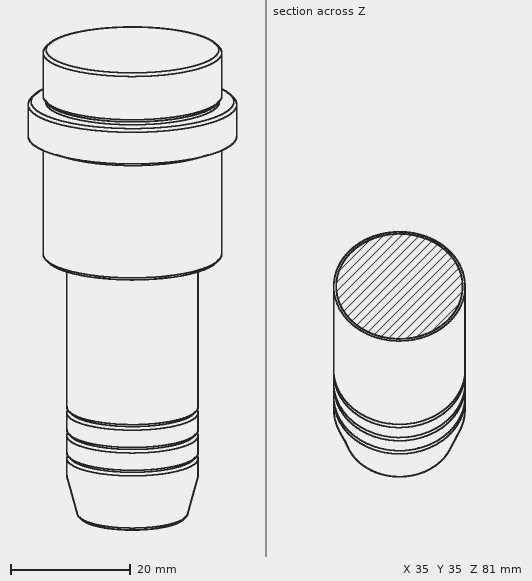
import cadquery as cq
import math

height = 81.0
flange_top = 72.0
flange_bottom = 66.0
body_bottom = 45.0
shank_top = 44.1
nose_top = 7.05

body_radius = 15.0
flange_radius = 17.5
shank_radius = 11.0

edge_chamfer = 0.5
relief_depth = 0.4
relief_width = 0.5
neck_radius = shank_radius - relief_depth
nose_angle = 15.0

groove_count = 3
groove_pitch = 4.0
lowest_groove_z = 10.5
groove_depth = 0.5
groove_half_width = 0.5


def cylinder(radius, bottom, top):
    """Solid cylinder on the Z axis between two heights."""
    return cq.Workplane("XY").workplane(offset=bottom).circle(radius).extrude(top - bottom)


def relief_ring(bottom, top):
    """Reduced-diameter core between the flange and a neighbouring section."""
    return cylinder(body_radius - relief_depth, bottom, top)


def tapered_nose():
    """Conical tip with a chamfered end, narrowing toward Z = 0."""
    taper_height = nose_top - edge_chamfer
    end_radius = shank_radius - taper_height * math.tan(math.radians(nose_angle))
    return (
        cq.Workplane("XZ")
        .moveTo(0, 0)
        .lineTo(end_radius - edge_chamfer, 0)
        .lineTo(end_radius, edge_chamfer)
        .lineTo(shank_radius, nose_top)
        .lineTo(0, nose_top)
        .close()
        .revolve(360, (0, 0, 0), (0, 1, 0))
    )


def ring_groove(center_z):
    """V-shaped ring to cut from the shank."""
    return (
        cq.Workplane("XZ")
        .moveTo(shank_radius - groove_depth, center_z)
        .lineTo(shank_radius, center_z + groove_half_width)
        .lineTo(shank_radius + groove_depth, center_z)
        .lineTo(shank_radius, center_z - groove_half_width)
        .close()
        .revolve(360, (0, 0, 0), (0, 1, 0))
    )


head_bottom = flange_top + relief_width
body_top = flange_bottom - relief_width
head = cylinder(body_radius, head_bottom, height).faces("<Z or >Z").chamfer(edge_chamfer)
flange = cylinder(flange_radius, flange_bottom, flange_top).faces(">Z").chamfer(edge_chamfer)
body = cylinder(body_radius, body_bottom, body_top).faces("<Z or >Z").chamfer(edge_chamfer)

neck = cylinder(neck_radius, shank_top, body_bottom)
shank = cylinder(shank_radius, nose_top, shank_top)
for index in range(groove_count):
    shank = shank.cut(ring_groove(lowest_groove_z + index * groove_pitch))

result = (
    head.union(relief_ring(flange_top, head_bottom))
    .union(flange)
    .union(relief_ring(body_top, flange_bottom))
    .union(body)
    .union(neck)
    .union(shank)
    .union(tapered_nose())
)